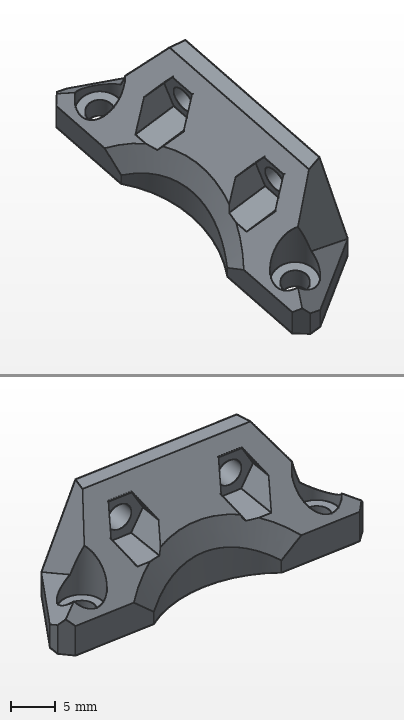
import cadquery as cq
import math

WIDTH = 41.55
DEPTH = 11.83
HEIGHT = 13.83
TOP_LEDGE = 2.0

FLARE_ANGLE = 30.0
FLARE_DEPTH = 8.9
CORNER_CLIP = 1.42

SHOULDER_HEIGHT = 3.15
FLANK_TOP_X = 11.0

RECESS_RADIUS = 15.25
RECESS_REACH = 2.72
RECESS_CHAMFER = 2.0

HOLE_DIAMETER = 3.3
MOUNT_X = 16.0
MOUNT_Y = -8.31
HEAD_DIAMETER = 5.6
HEAD_SEAT_HEIGHT = 3.0

BOLT_X = 7.5
BOLT_Z = 9.33
NUT_FLATS = 5.6
NUT_SEAT_DEPTH = 3.5

SIDES = (-1, 1)
half_width = WIDTH / 2
flare_slope = math.tan(math.radians(FLARE_ANGLE))
back_half_width = half_width - FLARE_DEPTH * flare_slope
slope_run = DEPTH - TOP_LEDGE


def make_wedge():
    """Sloped wedge, run out past the front face so the recess rim is chamfered in full."""
    run_out = 3.0
    front_height = HEIGHT - slope_run
    profile = [
        (0, 0),
        (0, HEIGHT),
        (-TOP_LEDGE, HEIGHT),
        (-DEPTH - run_out, front_height - run_out),
        (-DEPTH - run_out, 0),
    ]
    return cq.Workplane("YZ").polyline(profile).close().extrude(half_width, both=True)


def cut_recess(body):
    """Cut the concave recess and chamfer the rim where it meets the front slope."""
    axis_y = -DEPTH + RECESS_REACH - RECESS_RADIUS
    recess = cq.Workplane("XY").center(0, axis_y).circle(RECESS_RADIUS).extrude(HEIGHT)
    body = body.cut(recess)
    rim = body.edges("%ELLIPSE")
    return rim.chamfer(RECESS_CHAMFER)


def make_plan_prism():
    """Upright prism with the plan outline of the part."""
    right_side = [
        (back_half_width, 0),
        (half_width, -FLARE_DEPTH),
        (half_width, -DEPTH + CORNER_CLIP),
        (half_width - CORNER_CLIP, -DEPTH),
    ]
    left_side = [(-x, y) for x, y in reversed(right_side)]
    return cq.Workplane("XY").polyline(right_side + left_side).close().extrude(HEIGHT)


def make_side_relief(side):
    """Skewed prism removed above the 45 degree shoulder and outside the upper flank."""
    shoulder_slope_x = math.cos(math.radians(FLARE_ANGLE))
    shoulder_slope_y = math.sin(math.radians(FLARE_ANGLE))
    outer_x = half_width
    outer_z = SHOULDER_HEIGHT - (outer_x - back_half_width) * shoulder_slope_x
    corners = [
        (back_half_width, SHOULDER_HEIGHT),
        (FLANK_TOP_X, HEIGHT),
        (outer_x, HEIGHT),
        (outer_x, outer_z),
    ]
    outline_points = [cq.Vector(side * x, 0, z) for x, z in corners]
    outline = cq.Wire.makePolygon(outline_points, close=True)
    sweep = cq.Vector(0, -DEPTH, DEPTH * shoulder_slope_y)
    return cq.Workplane(cq.Solid.extrudeLinear(outline, [], sweep))


def make_mount_hole(side):
    """Vertical clearance hole with a screw head counterbore."""
    base = cq.Workplane("XY").center(side * MOUNT_X, MOUNT_Y)
    hole = base.circle(HOLE_DIAMETER / 2).extrude(HEIGHT)
    head = base.workplane(offset=HEAD_SEAT_HEIGHT).circle(HEAD_DIAMETER / 2).extrude(HEIGHT)
    return hole.union(head)


def make_nut_hole(side):
    """Horizontal bolt hole with a hexagonal nut pocket open to the front slope."""
    nut_corners = NUT_FLATS / math.cos(math.pi / 6)
    back = cq.Workplane("XZ").center(side * BOLT_X, BOLT_Z)
    hole = back.circle(HOLE_DIAMETER / 2).extrude(DEPTH)
    pocket = back.workplane(offset=NUT_SEAT_DEPTH).polygon(6, nut_corners).extrude(DEPTH)
    return hole.union(pocket)


result = cut_recess(make_wedge()).intersect(make_plan_prism())
for side in SIDES:
    result = result.cut(make_side_relief(side))
    result = result.cut(make_mount_hole(side))
    result = result.cut(make_nut_hole(side))